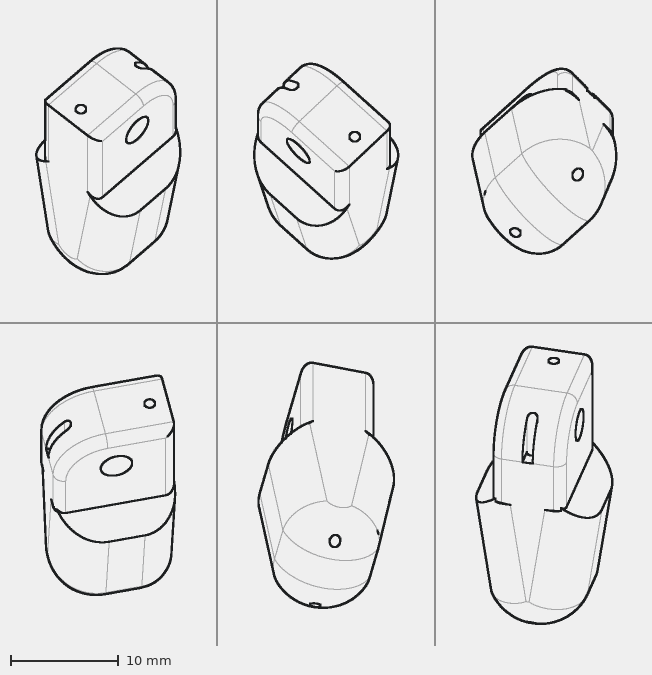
import cadquery as cq

height = 25.32
depth = 11.5
half_depth = depth / 2

shoulder_width = 11.93
shoulder_half_width = shoulder_width / 2
shoulder_z = 13.01
tip_half_width = 4.55
tip_z = 3.1
front_round = 3.5
back_round = 4.58

tang_width = 7.0
tang_half_width = tang_width / 2
tang_base_z = 15.3
tang_corner_radius = 5.0
tang_fillet = 1.0

pin_diameter = 3.0
pin_y = -0.08
pin_z = height - 4.0
cord_diameter = 1.0
cord_inset = 1.75
slot_floor_z = height - tang_corner_radius

shoulder_slope = (tang_base_z - shoulder_z) / (shoulder_half_width - tang_half_width)
crown_half_width = tang_half_width - tang_fillet
crown_z = shoulder_z + shoulder_slope * (shoulder_half_width - crown_half_width)


def make_body():
    """Tapered block with a round tip, rounded front and back, and sloping shoulders."""
    taper = (shoulder_half_width - tip_half_width) / (shoulder_z - tip_z)
    top_half_width = tip_half_width + taper * (crown_z - tip_z)
    block = (
        cq.Workplane("XZ")
        .moveTo(-top_half_width, crown_z)
        .lineTo(-tip_half_width, tip_z)
        .threePointArc((0, 0), (tip_half_width, tip_z))
        .lineTo(top_half_width, crown_z)
        .close()
        .extrude(half_depth, both=True)
    )
    block = block.faces("<Y").edges("not >Z").fillet(front_round)
    block = block.faces(">Y").edges("not >Z").fillet(back_round)

    shoulder_limit = (
        cq.Workplane("XZ")
        .polyline([
            (-shoulder_half_width, 0),
            (shoulder_half_width, 0),
            (shoulder_half_width, shoulder_z),
            (crown_half_width, crown_z),
            (-crown_half_width, crown_z),
            (-shoulder_half_width, shoulder_z),
        ])
        .close()
        .extrude(half_depth, both=True)
    )
    return block.intersect(shoulder_limit)


def make_tang():
    """Upright tang with a round upper back corner and filleted side outlines."""
    root_z = shoulder_z
    tang = (
        cq.Workplane("XY")
        .box(tang_width, depth, height - root_z, centered=(True, True, False))
        .translate((0, 0, root_z))
    )
    tang = tang.edges(">Y and >Z").fillet(tang_corner_radius)
    for side in ("<X", ">X"):
        tang = tang.faces(side).edges("not <Z").fillet(tang_fillet)
    foot = cq.Workplane("XY").box(tang_width, depth, tang_base_z, centered=(True, True, False))
    return tang.cut(foot)


pin_hole = (
    cq.Workplane("YZ")
    .center(pin_y, pin_z)
    .circle(pin_diameter / 2)
    .extrude(tang_width, both=True)
)

cord_y = half_depth - cord_inset
cord_holes = (
    cq.Workplane("XY")
    .pushPoints([(0, -cord_y), (0, cord_y)])
    .circle(cord_diameter / 2)
    .extrude(height)
)

cord_slot = (
    cq.Workplane("XY")
    .box(cord_diameter, cord_inset, height - slot_floor_z, centered=(True, False, False))
    .translate((0, cord_y, slot_floor_z))
)

result = make_body().union(make_tang()).cut(pin_hole).cut(cord_holes).cut(cord_slot)